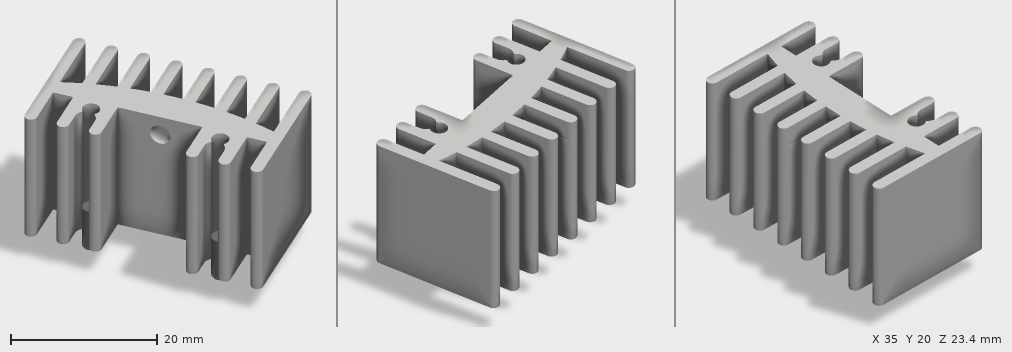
import cadquery as cq

width = 35.0
depth = 20.0
height = 20.0
fin_count = 8
fin_thickness = 1.8
fin_pitch = (width - fin_thickness) / (fin_count - 1)
front_y = -depth / 2
back_y = depth / 2

web_front_y = front_y + 7.0
web_crown_y = front_y + 12.05
web_edge_y = front_y + 9.52
web_half_width = width / 2 - fin_thickness

front_fins = (0, 1, 2, 5, 6, 7)
socket_fin_pairs = ((1, 2), (5, 6))

pin_radius = 1.25
pin_y = front_y + 5.32
throat_half_width = 0.95
gap_end_y = pin_y - 2.25
gap_half_width = (fin_pitch - fin_thickness) / 2

pin_drop = 3.43
pin_engagement = 3.35
pin_tip_fillet = 0.5

hole_diameter = 3.0
hole_z = height - 3.0


def fin_x(index):
    """Centre of a fin along the width."""
    return (index - (fin_count - 1) / 2) * fin_pitch


def make_fin(index):
    """Fin with fully rounded tips; it starts inside the web unless it has a front part."""
    x = fin_x(index)
    start_y = front_y if index in front_fins else web_front_y
    length = back_y - start_y
    return (
        cq.Workplane("XY")
        .center(x, start_y + length / 2)
        .slot2D(length, fin_thickness, 90)
        .extrude(height)
    )


def make_web():
    return (
        cq.Workplane("XY")
        .moveTo(-web_half_width, web_front_y)
        .lineTo(web_half_width, web_front_y)
        .lineTo(web_half_width, web_edge_y)
        .threePointArc((0, web_crown_y), (-web_half_width, web_edge_y))
        .close()
        .extrude(height)
    )


def make_socket_block(x):
    """Bridge between two front fins: a round bore, a narrow neck and a round-ended gap below it."""
    block = (
        cq.Workplane("XY")
        .center(x, (web_front_y + gap_end_y) / 2)
        .rect(2 * gap_half_width, web_front_y - gap_end_y)
        .extrude(height)
    )
    bore = cq.Workplane("XY").center(x, pin_y).circle(pin_radius).extrude(height)
    neck = (
        cq.Workplane("XY")
        .center(x, (pin_y + gap_end_y) / 2)
        .rect(2 * throat_half_width, pin_y - gap_end_y)
        .extrude(height)
    )
    gap_end = cq.Workplane("XY").center(x, gap_end_y).circle(gap_half_width).extrude(height)
    return block.cut(bore).cut(neck).cut(gap_end)


def make_pin(x):
    """Pin filling the lower end of the bore, with a rounded bottom tip."""
    return (
        cq.Workplane("XY", origin=(0, 0, -pin_drop))
        .center(x, pin_y)
        .circle(pin_radius)
        .extrude(pin_drop + pin_engagement)
        .faces("<Z")
        .edges()
        .fillet(pin_tip_fillet)
    )


body = make_web()
for fin_index in range(fin_count):
    body = body.union(make_fin(fin_index))

for left_fin, right_fin in socket_fin_pairs:
    socket_x = (fin_x(left_fin) + fin_x(right_fin)) / 2
    body = body.union(make_socket_block(socket_x))
    body = body.union(make_pin(socket_x))

hole = (
    cq.Workplane("XZ", origin=(0, back_y, 0))
    .center(0, hole_z)
    .circle(hole_diameter / 2)
    .extrude(depth)
)
result = body.cut(hole)